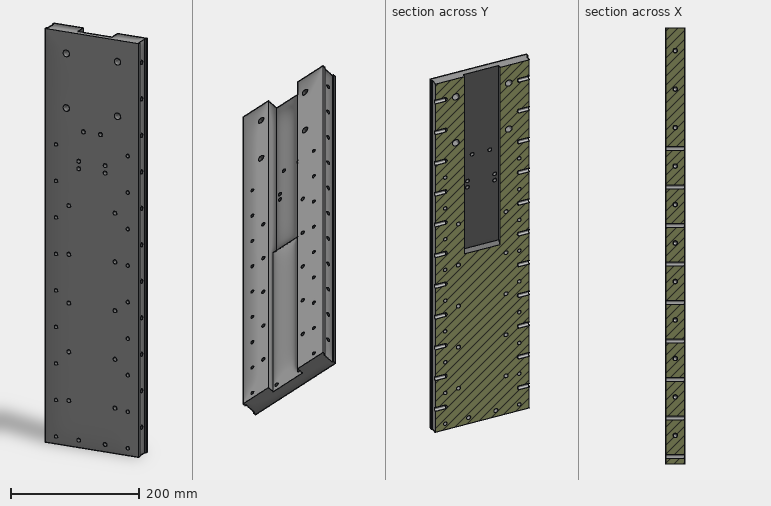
import cadquery as cq
import math

WIDTH = 164.0
THICKNESS = 30.0
HEIGHT = 680.0

GROOVE_WIDTH = 20.0
GROOVE_DEPTH = 2.0

CHANNEL_WIDTH = 60.0
CHANNEL_FLOOR = 10.0
RAMP_TOP_FLOOR = 18.5
RAMP_BOTTOM_Z = 0.0
RAMP_ANGLE = 40.0

EDGE_DIAMETER = 6.4
EDGE_HOLE_DEPTH = 20.5
DRILL_POINT_ANGLE = 118.0
EDGE_COUNT = 11
EDGE_TOP_Z = 304.5
EDGE_SPAN = 600.0

BOTTOM_ROW_Z = -328.0

MOUNT_DIAMETER = 11.0
MOUNT_GAUGE = 90.0
MOUNT_TOP_Z = EDGE_TOP_Z
MOUNT_SPACING = MOUNT_GAUGE

RAIL_DIAMETER = 5.6
RAIL_GAUGE = 126.0
RAIL_COUNT = 9
RAIL_SPAN = 480.0

FIXING_DIAMETER = 6.4
INNER_GAUGE = 81.0
INNER_COUNT = 5
INNER_TOP_Z = 55.0
INNER_SPAN = 320.0
CLAMP_GAUGE = 46.0
CLAMP_Z = 124.5
CLAMP_SPACING = 12.0
TOP_PAIR_GAUGE = 30.0
TOP_PAIR_Z = 180.0

FRONT_Y = -THICKNESS / 2
BACK_Y = THICKNESS / 2
TOP_Z = HEIGHT / 2


def column(top_z, span, count):
    return [top_z - i * span / (count - 1) for i in range(count)]


def mirrored(gauge, heights):
    return [(side * gauge / 2, z) for side in (-1, 1) for z in heights]


def through_holes(diameter, points):
    return (
        cq.Workplane("XZ", origin=(0, BACK_Y, 0))
        .pushPoints(points)
        .circle(diameter / 2)
        .extrude(THICKNESS)
    )


def channel():
    deep_y = FRONT_Y + CHANNEL_FLOOR
    ledge_y = FRONT_Y + RAMP_TOP_FLOOR
    ramp_length = (ledge_y - deep_y) / math.tan(math.radians(RAMP_ANGLE))
    outline = [
        (deep_y, TOP_Z),
        (deep_y, RAMP_BOTTOM_Z),
        (ledge_y, RAMP_BOTTOM_Z - ramp_length),
        (ledge_y, -TOP_Z),
        (BACK_Y, -TOP_Z),
        (BACK_Y, TOP_Z),
    ]
    return cq.Workplane("YZ").polyline(outline).close().extrude(CHANNEL_WIDTH / 2, both=True)


def edge_hole():
    radius = EDGE_DIAMETER / 2
    inner_x = EDGE_HOLE_DEPTH - WIDTH / 2
    tip_x = inner_x + radius / math.tan(math.radians(DRILL_POINT_ANGLE / 2))
    half_section = [(-WIDTH / 2, 0), (-WIDTH / 2, radius), (inner_x, radius), (tip_x, 0)]
    return cq.Workplane("XY").polyline(half_section).close().revolve(360, (0, 0), (1, 0))


plate = cq.Workplane("XY").box(WIDTH, THICKNESS, HEIGHT)
plate = plate.cut(channel())

for side in (-1, 1):
    groove = cq.Workplane("XY").box(2 * GROOVE_DEPTH, GROOVE_WIDTH, HEIGHT)
    plate = plate.cut(groove.translate((side * WIDTH / 2, 0, 0)))

rail_top_z = BOTTOM_ROW_Z + RAIL_SPAN
clamp_top_z = CLAMP_Z + CLAMP_SPACING / 2
clamp_heights = column(clamp_top_z, CLAMP_SPACING, 2) + [BOTTOM_ROW_Z]
fixing_points = (
    mirrored(INNER_GAUGE, column(INNER_TOP_Z, INNER_SPAN, INNER_COUNT))
    + mirrored(CLAMP_GAUGE, clamp_heights)
    + mirrored(TOP_PAIR_GAUGE, [TOP_PAIR_Z])
)
mount_points = mirrored(MOUNT_GAUGE, column(MOUNT_TOP_Z, MOUNT_SPACING, 2))
rail_points = mirrored(RAIL_GAUGE, column(rail_top_z, RAIL_SPAN, RAIL_COUNT))
plate = plate.cut(through_holes(MOUNT_DIAMETER, mount_points))
plate = plate.cut(through_holes(RAIL_DIAMETER, rail_points))
plate = plate.cut(through_holes(FIXING_DIAMETER, fixing_points))

left_hole = edge_hole()
right_hole = left_hole.mirror("YZ")
for z in column(EDGE_TOP_Z, EDGE_SPAN, EDGE_COUNT):
    plate = plate.cut(left_hole.translate((0, 0, z)))
    plate = plate.cut(right_hole.translate((0, 0, z)))

result = plate